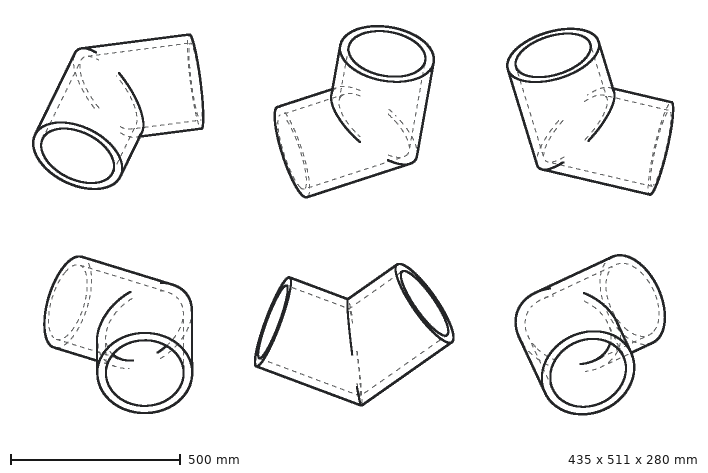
import cadquery as cq
import math

overall_length = 511.0
outer_diameter = 280.0
wall_thickness = 25.5
bend_angle = math.radians(60)

outer_radius = outer_diameter / 2
inner_radius = outer_radius - wall_thickness

rim_rise = outer_radius * math.sin(bend_angle)
leg_length = (overall_length - rim_rise) / (1 + math.cos(bend_angle))

rough_length = leg_length + outer_diameter
mitre_angle = bend_angle / 2
trim_size = 2 * overall_length


def mitred_leg():
    """Leg along +Y from Y = 0, trimmed by the mitre plane through the centreline corner."""
    pipe = (
        cq.Workplane("XZ")
        .circle(outer_radius)
        .circle(inner_radius)
        .extrude(-rough_length)
    )
    beyond_mitre = (
        cq.Workplane("XY")
        .box(trim_size, trim_size, trim_size, centered=(True, False, True))
        .rotate((0, 0, 0), (0, 0, 1), -math.degrees(mitre_angle))
        .translate((0, leg_length, 0))
    )
    return pipe.cut(beyond_mitre)


straight_leg = mitred_leg()
mitre_normal = cq.Vector(math.sin(mitre_angle), math.cos(mitre_angle), 0)
angled_leg = straight_leg.mirror(mitre_normal, (0, leg_length, 0))
result = straight_leg.union(angled_leg)